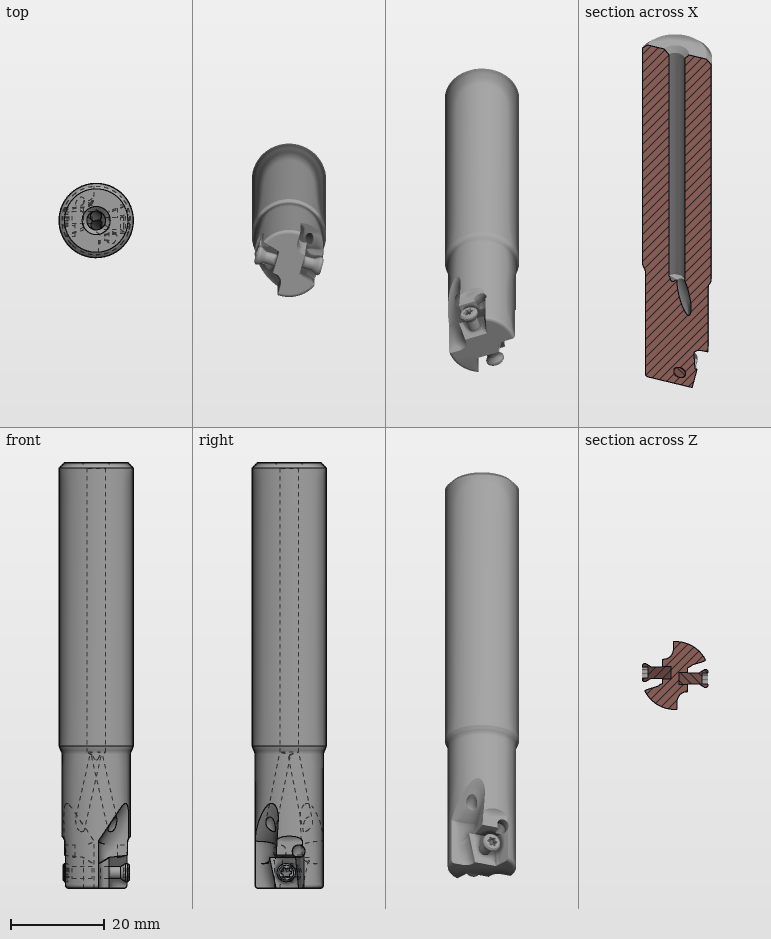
import cadquery as cq
import math

total_length = 90.7
shank_radius = 15.9 / 2
top_chamfer = 1.2
shoulder_top_z = 30.4
shoulder_cone_z = 29.6
shoulder_cone_radius = 7.6
neck_radius = 14.6 / 2
neck_top_z = 28.6
nose_fillet = 0.7

bore_radius = 2.0
bore_end_z = 29.0
bore_point_depth = 1.2
countersink_radius = 3.0
countersink_depth = 1.3
branch_radius = 1.2
branch_start = cq.Vector(0, -0.8, bore_end_z)
branch_exit = cq.Vector(4.0, -4.35, 11.3)

reach = 9.1
flute_wall_x = 0.45
flute_bend_z = 9.8
flute_tip_x = 6.5
flute_tip_z = 19.0
flute_floor_y = -2.8
flute_floor_lean = 3.5
flute_corner_radius = 2.9
ledge_inner_z = 5.1
ledge_outer_z = 6.5
flank_bottom_y = -2.8
flank_top_y = -4.5
flank_top_z = 8.2
flank_corner_radius = 2.0

seat_x = 2.7
seat_height = 6.6
ceiling_rise = 0.7
back_wall_foot_low_y = 2.0
back_wall_foot_high_y = 1.3
back_wall_step_x = 3.6
back_wall_step_low_y = 2.4
back_wall_step_high_y = 2.0
back_wall_edge_x = 6.5
back_wall_edge_y = 3.2
relief_radius = 1.4
relief_y = 2.0
relief_z = 7.9
relief_floor_x = 4.5

flat_x = 6.7
flat_top_z = 9.8
flat_runout_radius = 1.8
flat_runout_angle = 60.0

screw_y = -0.6
screw_z = 3.4
screw_tip_x = 0.9
screw_shaft_radius = 1.3
head_cone_x = 5.2
head_rim_x = 6.3
head_top_x = 7.1
head_radius = 3.9 / 2
head_chamfer = 0.4
socket_core_radius = 0.8
socket_lobe_radius = 0.32
socket_lobes = 6
socket_depth = 1.3

cutting_side_angles = (0, 180)


def spin(shape, angle):
    """Turn a shape about the tool axis."""
    return shape.rotate((0, 0, 0), (0, 0, 1), angle)


def make_blank():
    """Turned shank, shoulder and neck."""
    profile = (
        cq.Workplane("XZ")
        .moveTo(0, 0)
        .lineTo(neck_radius, 0)
        .lineTo(neck_radius, neck_top_z)
        .tangentArcPoint((shoulder_cone_radius, shoulder_cone_z), relative=False)
        .lineTo(shank_radius, shoulder_top_z)
        .lineTo(shank_radius, total_length)
        .lineTo(0, total_length)
        .close()
    )
    blank = profile.revolve(360, (0, 0, 0), (0, 1, 0))
    blank = blank.faces(">Z").edges().chamfer(top_chamfer)
    return blank.faces("<Z").edges().fillet(nose_fillet)


def make_bore():
    """Countersunk coolant bore entering from the shank end."""
    profile = (
        cq.Workplane("XZ")
        .moveTo(0, bore_end_z - bore_point_depth)
        .lineTo(bore_radius, bore_end_z)
        .lineTo(bore_radius, total_length - countersink_depth)
        .lineTo(countersink_radius, total_length)
        .lineTo(0, total_length)
        .close()
    )
    return profile.revolve(360, (0, 0, 0), (0, 1, 0))


def make_coolant_branch():
    """Slanting hole from the end of the bore out into the flute."""
    path = branch_exit - branch_start
    return cq.Workplane(cq.Solid.makeCylinder(branch_radius, path.Length, branch_start, path))


def make_upper_flute():
    """Sloping run-out of the flute, with a rounded corner along its wall."""
    slope = (flute_tip_z - flute_bend_z) / (flute_tip_x - flute_wall_x)
    outer_z = flute_bend_z + slope * (reach - flute_wall_x)
    outline = [
        (flute_wall_x, ledge_inner_z),
        (flute_wall_x, flute_bend_z),
        (reach, outer_z),
        (reach, ledge_outer_z),
        (seat_x, ledge_outer_z),
    ]
    flute = (
        cq.Workplane("XZ", origin=(0, flute_floor_y, 0))
        .polyline(outline)
        .close()
        .extrude(reach)
    )
    corner_points = (
        (flute_wall_x, flute_floor_y, (ledge_inner_z + flute_bend_z) / 2),
        ((flute_wall_x + reach) / 2, flute_floor_y, (flute_bend_z + outer_z) / 2),
    )
    corners = [flute.edges(cq.selectors.NearestToPointSelector(p)).val() for p in corner_points]
    flute = flute.newObject(corners).fillet(flute_corner_radius)
    hinge_start = (0, flute_floor_y, ledge_outer_z)
    hinge_end = (reach, flute_floor_y, ledge_outer_z)
    return flute.rotate(hinge_start, hinge_end, -flute_floor_lean)


def make_lower_flute():
    """Flute beside the insert seat, down to the end face, with a leaning flank."""
    outline = [
        (flank_bottom_y, 0),
        (flank_top_y, flank_top_z),
        (-reach, flank_top_z),
        (-reach, 0),
    ]
    flute = (
        cq.Workplane("YZ", origin=(flute_wall_x, 0, 0))
        .polyline(outline)
        .close()
        .extrude(reach)
    )
    corner_point = (flute_wall_x, (flank_bottom_y + flank_top_y) / 2, flank_top_z / 2)
    corner = cq.selectors.NearestToPointSelector(corner_point)
    return flute.edges(corner).fillet(flank_corner_radius)


def make_seat_pocket():
    """Insert seat: flat floor facing outward, leaning back wall, rising ceiling."""
    top_z = seat_height + ceiling_rise

    def section(foot_y, step_y):
        return [
            (seat_x, -reach),
            (seat_x, foot_y),
            (back_wall_step_x, step_y),
            (back_wall_edge_x, back_wall_edge_y),
            (reach, back_wall_edge_y),
            (reach, -reach),
        ]

    pocket = (
        cq.Workplane("XY")
        .polyline(section(back_wall_foot_low_y, back_wall_step_low_y))
        .close()
        .workplane(offset=top_z)
        .polyline(section(back_wall_foot_high_y, back_wall_step_high_y))
        .close()
        .loft(ruled=True)
    )
    under_ceiling = (
        cq.Workplane("XZ")
        .polyline([(seat_x, 0), (seat_x, seat_height), (reach, top_z), (reach, 0)])
        .close()
        .extrude(reach, both=True)
    )
    return pocket.intersect(under_ceiling)


def make_corner_relief():
    """Round relief at the upper back corner of the seat."""
    return (
        cq.Workplane("YZ", origin=(relief_floor_x, relief_y, relief_z))
        .circle(relief_radius)
        .extrude(reach - relief_floor_x)
    )


def make_side_flat():
    """Shallow flat above the seat that runs out upward in an arc."""
    half_angle = math.radians(flat_runout_angle / 2)
    full_angle = math.radians(flat_runout_angle)

    def runout(angle):
        x = flat_x + flat_runout_radius * (1 - math.cos(angle))
        z = flat_top_z + flat_runout_radius * math.sin(angle)
        return (x, z)

    end_x, end_z = runout(full_angle)
    return (
        cq.Workplane("XZ")
        .moveTo(flat_x, seat_height)
        .lineTo(flat_x, flat_top_z)
        .threePointArc(runout(half_angle), (end_x, end_z))
        .lineTo(reach, end_z)
        .lineTo(reach, seat_height)
        .close()
        .extrude(back_wall_edge_y, both=True)
    )


def make_screw():
    """Countersunk clamping screw with a six-lobe socket, its axis along X."""
    profile = (
        cq.Workplane("XY")
        .moveTo(screw_tip_x, 0)
        .lineTo(screw_tip_x, screw_shaft_radius)
        .lineTo(head_cone_x, screw_shaft_radius)
        .lineTo(head_rim_x, head_radius)
        .lineTo(head_top_x - head_chamfer, head_radius)
        .lineTo(head_top_x, head_radius - head_chamfer)
        .lineTo(head_top_x, 0)
        .close()
    )
    screw = profile.revolve(360, (0, 0, 0), (1, 0, 0))
    socket_plane = cq.Workplane("YZ", origin=(head_top_x - socket_depth, 0, 0))
    core = socket_plane.circle(socket_core_radius).extrude(socket_depth)
    lobes = (
        socket_plane.polarArray(socket_core_radius, 0, 360, socket_lobes)
        .circle(socket_lobe_radius)
        .extrude(socket_depth)
    )
    return screw.cut(core).cut(lobes).translate((0, screw_y, screw_z))


def make_screw_hole():
    """Hole in the seat that fits the screw shaft."""
    return (
        cq.Workplane("YZ", origin=(screw_tip_x, screw_y, screw_z))
        .circle(screw_shaft_radius)
        .extrude(seat_x - screw_tip_x)
    )


holder = make_blank().cut(make_bore())
side_cuts = (
    make_coolant_branch(),
    make_upper_flute(),
    make_lower_flute(),
    make_seat_pocket(),
    make_corner_relief(),
    make_side_flat(),
    make_screw_hole(),
)
screws = []
for side_angle in cutting_side_angles:
    for side_cut in side_cuts:
        holder = holder.cut(spin(side_cut, side_angle))
    screws.append(spin(make_screw(), side_angle))

result = cq.Compound.makeCompound([holder.val(), *[screw.val() for screw in screws]])